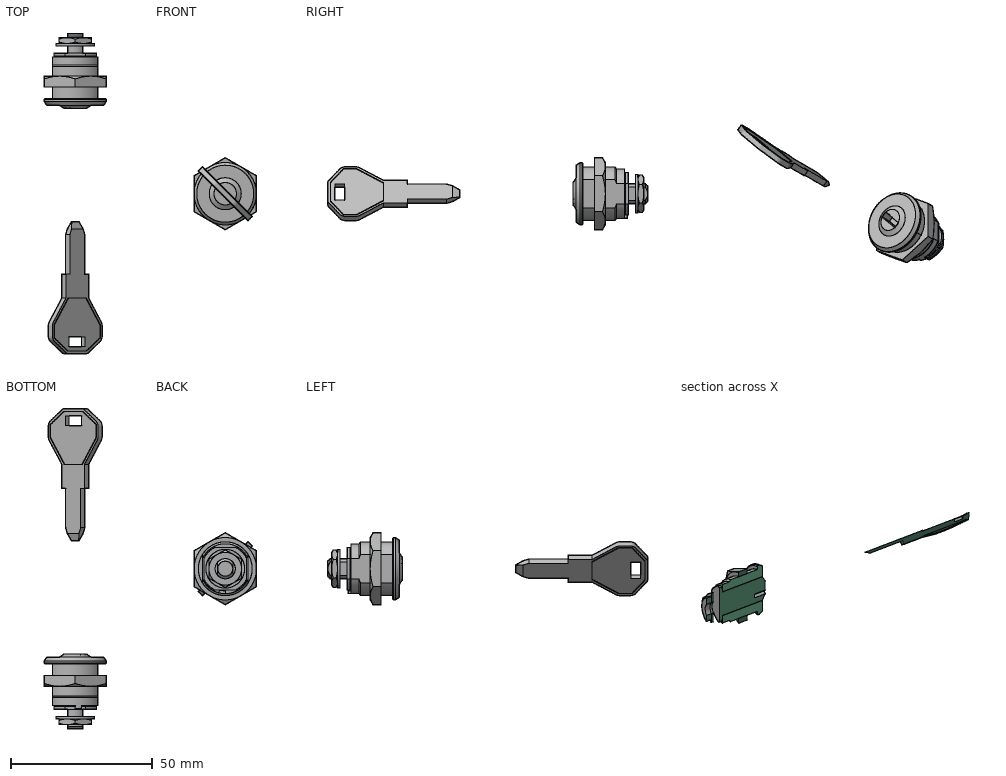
import cadquery as cq
import math


FLANGE_DIAMETER = 22.0
FLANGE_FACE_RADIUS = 10.1
FLANGE_BACK_CHAMFER = 0.3
FLANGE_BEVEL_START = 1.0
FLANGE_THICKNESS = 2.4
BARREL_RADIUS = 9.5
BARREL_TAIL_RADIUS = 8.8
BARREL_ACROSS_FLATS = 16.0
BARREL_STEP_START = 11.3
BARREL_STEP_END = 11.9
BARREL_LENGTH = 14.7

TAB_INNER_RADIUS = 7.8
TAB_LENGTH = 1.0
TAB_ANGLE = 15

PLUG_RADIUS = 5.7
PLUG_FACE_RADIUS = 4.0
PLUG_PROJECTION = 1.1
COLLAR_LENGTH = 0.3
PLATE_RADIUS = 8.4
PLATE_ACROSS_FLATS = 15.0
PLATE_THICKNESS = 1.0
STEM_DIAMETER = 7.1
STEM_ACROSS_FLATS = 5.4
STEM_END = 22.9
STEM_CHAMFER = 0.9

MOUNTING_NUT_ACROSS_CORNERS = 25.4
MOUNTING_NUT_THICKNESS = 3.8
MOUNTING_NUT_FRONT = 4.1

WASHER_DIAMETER = 13.7
WASHER_THICKNESS = 0.9
WASHER_FRONT = 18.5
STEM_NUT_ACROSS_FLATS = 11.5
STEM_NUT_THICKNESS = 2.0
NUT_CHAMFER_ANGLE = 30

HEX_SIDES = 6
HEX_RATIO = math.cos(math.pi / HEX_SIDES)

KEY_TIP_Y = -43.4
KEY_ROLL = 45
KEY_THICKNESS = 2.1
KEY_LENGTH = 46.7
TIP_WIDTH = 3.6
TIP_THICKNESS = 0.2
TIP_BEVEL_LENGTH = 2.6
TIP_TAPER_LENGTH = 4.6
BLADE_WIDTH = 7.6
BLADE_END = 18.5
NECK_WIDTH = 11.4
NECK_END = 27.0
HEAD_WIDTH = 24.9
HEAD_WIDE_START = 36.0
HEAD_WIDE_END = 41.6
HEAD_END_WIDTH = 10.0
HEAD_CORNER_RADIUS = 2.5
HEAD_RIM = 1.0
HEAD_RECESS_DEPTH = 0.2
KEY_HOLE_WIDTH = 7.9
KEY_HOLE_LENGTH = 3.4
KEY_HOLE_CENTER = 42.4

KEYWAY_DEPTH = 4.5


def turned(profile):
    """Solid of revolution about the Y axis from (radius, y) points."""
    return cq.Workplane("XY").polyline(profile).close().revolve(360, (0, 0, 0), (0, 1, 0))


def section(y):
    """Workplane across the lock axis; a negative extrusion runs toward +Y."""
    return cq.Workplane("XZ", origin=(0, y, 0))


def cylinder(radius, start, end):
    return section(start).circle(radius).extrude(start - end)


def block(width, height, start, end):
    return section(start).rect(width, height).extrude(start - end)


def hex_nut(across_corners, front, thickness, chamfer_front):
    """Solid hexagonal blank with corners toward +Z and -Z, and conically chamfered end faces."""
    corner = across_corners / 2
    face_radius = corner * HEX_RATIO
    drop = (corner - face_radius) * math.tan(math.radians(NUT_CHAMFER_ANGLE))
    rear = front + thickness
    turns = [2 * math.pi * i / HEX_SIDES for i in range(HEX_SIDES)]
    corners = [(corner * math.sin(turn), corner * math.cos(turn)) for turn in turns]
    prism = section(front).polyline(corners).close().extrude(-thickness)
    if chamfer_front:
        front_points = [(face_radius, front), (corner, front + drop)]
    else:
        front_points = [(corner, front)]
    envelope = turned([(0, front), *front_points, (corner, rear - drop), (face_radius, rear), (0, rear)])
    return prism.intersect(envelope)


def barrel_form():
    """Barrel behind the flange, with a stepped tail and flats facing +X and -X."""
    form = turned([
        (0, 0),
        (BARREL_RADIUS, 0),
        (BARREL_RADIUS, BARREL_STEP_START),
        (BARREL_TAIL_RADIUS, BARREL_STEP_END),
        (BARREL_TAIL_RADIUS, BARREL_LENGTH),
        (0, BARREL_LENGTH),
    ])
    return form.intersect(block(BARREL_ACROSS_FLATS, 2 * BARREL_RADIUS, 0, BARREL_LENGTH))


def stop_tab():
    """Ring sector that starts at the bottom of the rear rim and runs toward +X."""
    end = BARREL_LENGTH + TAB_LENGTH
    ring = cylinder(BARREL_TAIL_RADIUS, BARREL_LENGTH, end).cut(
        cylinder(TAB_INNER_RADIUS, BARREL_LENGTH, end)
    )
    reach = 2 * BARREL_TAIL_RADIUS
    wedge = (
        section(BARREL_LENGTH)
        .polyline([(0, 0), (0, -reach), (reach * math.tan(math.radians(TAB_ANGLE)), -reach)])
        .close()
        .extrude(-TAB_LENGTH)
    )
    return ring.intersect(wedge)


def make_housing():
    rim_radius = FLANGE_DIAMETER / 2
    flange = turned([
        (0, 0),
        (rim_radius - FLANGE_BACK_CHAMFER, 0),
        (rim_radius, -FLANGE_BACK_CHAMFER),
        (rim_radius, -FLANGE_BEVEL_START),
        (FLANGE_FACE_RADIUS, -FLANGE_THICKNESS),
        (0, -FLANGE_THICKNESS),
    ])
    bore = cylinder(PLUG_RADIUS, -FLANGE_THICKNESS, BARREL_LENGTH)
    return flange.union(barrel_form()).cut(bore).union(stop_tab())


def stem():
    """Flatted stem from the housing's rear face, with a chamfered end."""
    radius = STEM_DIAMETER / 2
    rod = turned([
        (0, BARREL_LENGTH),
        (radius, BARREL_LENGTH),
        (radius, STEM_END - STEM_CHAMFER),
        (radius - STEM_CHAMFER, STEM_END),
        (0, STEM_END),
    ])
    return rod.intersect(block(STEM_ACROSS_FLATS, STEM_DIAMETER, BARREL_LENGTH, STEM_END))


def make_core():
    face = -FLANGE_THICKNESS - PLUG_PROJECTION
    plug = turned([
        (0, face),
        (PLUG_FACE_RADIUS, face),
        (PLUG_RADIUS, -FLANGE_THICKNESS),
        (PLUG_RADIUS, BARREL_LENGTH),
        (0, BARREL_LENGTH),
    ])
    plate_start = BARREL_LENGTH + COLLAR_LENGTH
    plate_end = plate_start + PLATE_THICKNESS
    collar = cylinder(PLATE_ACROSS_FLATS / 2, BARREL_LENGTH, plate_start)
    plate = cylinder(PLATE_RADIUS, plate_start, plate_end).intersect(
        block(PLATE_ACROSS_FLATS, PLATE_ACROSS_FLATS, plate_start, plate_end)
    )
    keyway = block(BLADE_WIDTH, KEY_THICKNESS, face, face + KEYWAY_DEPTH)
    keyway = keyway.rotate((0, 0, 0), (0, 1, 0), KEY_ROLL)
    return plug.union(collar).union(plate).union(stem()).cut(keyway)


def make_mounting_nut():
    blank = hex_nut(MOUNTING_NUT_ACROSS_CORNERS, MOUNTING_NUT_FRONT, MOUNTING_NUT_THICKNESS, False)
    return blank.cut(cylinder(BARREL_RADIUS, 0, BARREL_LENGTH))


def make_washer():
    end = WASHER_FRONT + WASHER_THICKNESS
    disc = cylinder(WASHER_DIAMETER / 2, WASHER_FRONT, end)
    return disc.cut(cylinder(STEM_DIAMETER / 2, WASHER_FRONT, end))


def make_stem_nut():
    across_corners = STEM_NUT_ACROSS_FLATS / HEX_RATIO
    blank = hex_nut(across_corners, WASHER_FRONT + WASHER_THICKNESS, STEM_NUT_THICKNESS, True)
    return blank.cut(cylinder(STEM_DIAMETER / 2, WASHER_FRONT, STEM_END))


def mirrored_outline(half):
    """Closed outline from (width, distance from tip) stations, symmetric about the key's centre line."""
    right = [(width / 2, -distance) for width, distance in half]
    left = [(-x, y) for x, y in reversed(right)]
    return cq.Workplane("XY").polyline(right + left).close()


def key_shank():
    """Tapered tip, blade and neck."""
    outline = [
        (TIP_WIDTH, 0),
        (BLADE_WIDTH, TIP_TAPER_LENGTH),
        (BLADE_WIDTH, BLADE_END),
        (NECK_WIDTH, BLADE_END),
        (NECK_WIDTH, NECK_END),
    ]
    shank = mirrored_outline(outline).extrude(KEY_THICKNESS / 2, both=True)
    half_tip = TIP_THICKNESS / 2
    half_key = KEY_THICKNESS / 2
    side = [
        (0, half_tip),
        (-TIP_BEVEL_LENGTH, half_key),
        (-NECK_END, half_key),
        (-NECK_END, -half_key),
        (-TIP_BEVEL_LENGTH, -half_key),
        (0, -half_tip),
    ]
    return shank.intersect(cq.Workplane("YZ").polyline(side).close().extrude(NECK_WIDTH, both=True))


def key_head():
    """Tapering grip with rounded corners and a shallow recess on each face."""
    sides = [
        (HEAD_WIDTH, HEAD_WIDE_START),
        (HEAD_WIDTH, HEAD_WIDE_END),
        (HEAD_END_WIDTH, KEY_LENGTH),
    ]
    head = mirrored_outline([(NECK_WIDTH, NECK_END), *sides]).extrude(KEY_THICKNESS / 2, both=True)
    head = head.faces(">X or <X or <Y").edges("|Z").fillet(HEAD_CORNER_RADIUS)

    flare = (HEAD_WIDTH - NECK_WIDTH) / (HEAD_WIDE_START - NECK_END)
    recess_outline = [(NECK_WIDTH - flare * HEAD_RIM, NECK_END - HEAD_RIM), *sides]
    recess = mirrored_outline(recess_outline).offset2D(-HEAD_RIM).extrude(HEAD_RECESS_DEPTH)
    floor = KEY_THICKNESS / 2 - HEAD_RECESS_DEPTH
    for base in (floor, -KEY_THICKNESS / 2):
        head = head.cut(recess.translate((0, 0, base)))
    return head


def make_key():
    hole = cq.Workplane("XY").box(KEY_HOLE_WIDTH, KEY_HOLE_LENGTH, KEY_THICKNESS)
    key = key_shank().union(key_head()).cut(hole.translate((0, -KEY_HOLE_CENTER, 0)))
    return key.rotate((0, 0, 0), (0, 1, 0), KEY_ROLL).translate((0, KEY_TIP_Y, 0))


housing = make_housing()
core = make_core()
mounting_nut = make_mounting_nut()
washer = make_washer()
stem_nut = make_stem_nut()
key = make_key()

result = cq.Compound.makeCompound([
    housing.val(),
    core.val(),
    mounting_nut.val(),
    washer.val(),
    stem_nut.val(),
    key.val(),
])